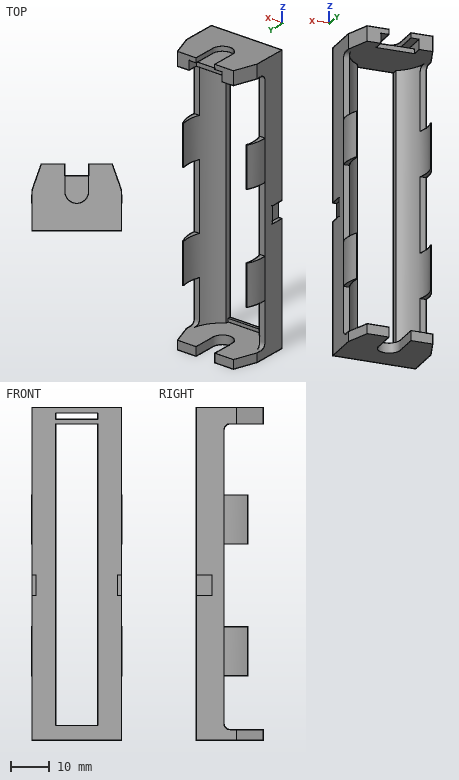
import cadquery as cq
width = 23.1
depth = 17.27
height = 85.69

wall_depth = 7.2
bottom_plate = 2.8
top_plate = 4.3
inner_corner_radius = 1.5
taper_start_y = 10.4
taper_inset = 2.4

bay_radius = 10.5
bay_axis_y = 10.8

window_width = 10.7
window_bottom = 3.85
sill_depth = 0.9

slot_top_gap = 1.45
slot_height = 1.55
lip_depth = 14.2

lead_cut_width = 6.1
lead_cut_end_y = 7.1

clip_outer_radius = 11.64
clip_axis_y = 8.3
clip_tip_y = 13.3
clip_length = 12.7
clip_spacing = 33.9

middle_z = 39.9
notch_depth_x = 1.1
notch_depth_y = 4.1
notch_height = 5.2

cut_margin = 1.0


def block(x_range, y_range, z_range):
    """Box between two limits on each axis."""
    (x0, x1), (y0, y1), (z0, z1) = x_range, y_range, z_range
    return cq.Workplane("XY").box(x1 - x0, y1 - y0, z1 - z0, centered=False).translate((x0, y0, z0))


def cylinder(radius, axis_y, z_range):
    """Upright cylinder on the middle plane of the part."""
    z0, z1 = z_range
    return cq.Workplane("XY", origin=(0, axis_y, z0)).circle(radius).extrude(z1 - z0)


def outer_body():
    """Full-height prism whose rear corners taper inwards."""
    half = width / 2
    rear_half = half - taper_inset
    outline = [
        (-half, 0),
        (half, 0),
        (half, taper_start_y),
        (rear_half, depth),
        (-rear_half, depth),
        (-half, taper_start_y),
    ]
    return cq.Workplane("XY").polyline(outline).close().extrude(height)


def rear_opening():
    """Space between the end plates behind the side walls, with rounded front corners."""
    opening = block(
        (-width, width),
        (wall_depth, depth + inner_corner_radius),
        (bottom_plate, height - top_plate),
    )
    return opening.edges("|X and <Y").fillet(inner_corner_radius)


def front_window():
    """Opening from the front face into the bay, over the bay's full height."""
    half = window_width / 2
    return block((-half, half), (-cut_margin, bay_axis_y), (bottom_plate, height - top_plate))


def window_sill():
    """Thin ledge along the bottom of the window, standing above the bay floor."""
    half = window_width / 2
    return block((-half, half), (0, sill_depth), (bottom_plate, window_bottom))


def contact_slot():
    """Slot from front to rear; the lip below it stops short of the rear face."""
    half = window_width / 2
    slot_top = height - slot_top_gap
    slot = block((-half, half), (-cut_margin, depth + cut_margin), (slot_top - slot_height, slot_top))
    lip_cut = block((-half, half), (lip_depth, depth + cut_margin), (height - top_plate - cut_margin, slot_top))
    return slot.union(lip_cut)


def lead_cut(z_range):
    """Round-ended cut, open to the rear."""
    radius = lead_cut_width / 2
    centre_y = lead_cut_end_y + radius
    straight = block((-radius, radius), (centre_y, depth + cut_margin), z_range)
    return straight.union(cylinder(radius, centre_y, z_range))


def clip_pair(centre_z):
    """Two facing curved clips, between the outer clip radius and the bay."""
    z_range = (centre_z - clip_length / 2, centre_z + clip_length / 2)
    disc = cylinder(clip_outer_radius, clip_axis_y, z_range)
    band = block((-width, width), (wall_depth, clip_tip_y), z_range)
    return disc.intersect(band).cut(cylinder(bay_radius, bay_axis_y, z_range))


def grip_notch(side):
    """Notch across one front side edge; side is -1 for left and 1 for right."""
    x_range = sorted((side * (width / 2 - notch_depth_x), side * width))
    z_range = (middle_z - notch_height / 2, middle_z + notch_height / 2)
    return block(x_range, (-cut_margin, notch_depth_y), z_range)


body = outer_body()
body = body.cut(rear_opening())
body = body.cut(cylinder(bay_radius, bay_axis_y, (bottom_plate, height - top_plate)))
body = body.cut(front_window())
body = body.union(window_sill())
body = body.cut(contact_slot())
body = body.cut(lead_cut((height - slot_top_gap - slot_height / 2, height + cut_margin)))
body = body.cut(lead_cut((-cut_margin, bottom_plate + cut_margin)))
for side in (-1, 1):
    body = body.cut(grip_notch(side))
    body = body.union(clip_pair(middle_z + side * clip_spacing / 2))

result = body